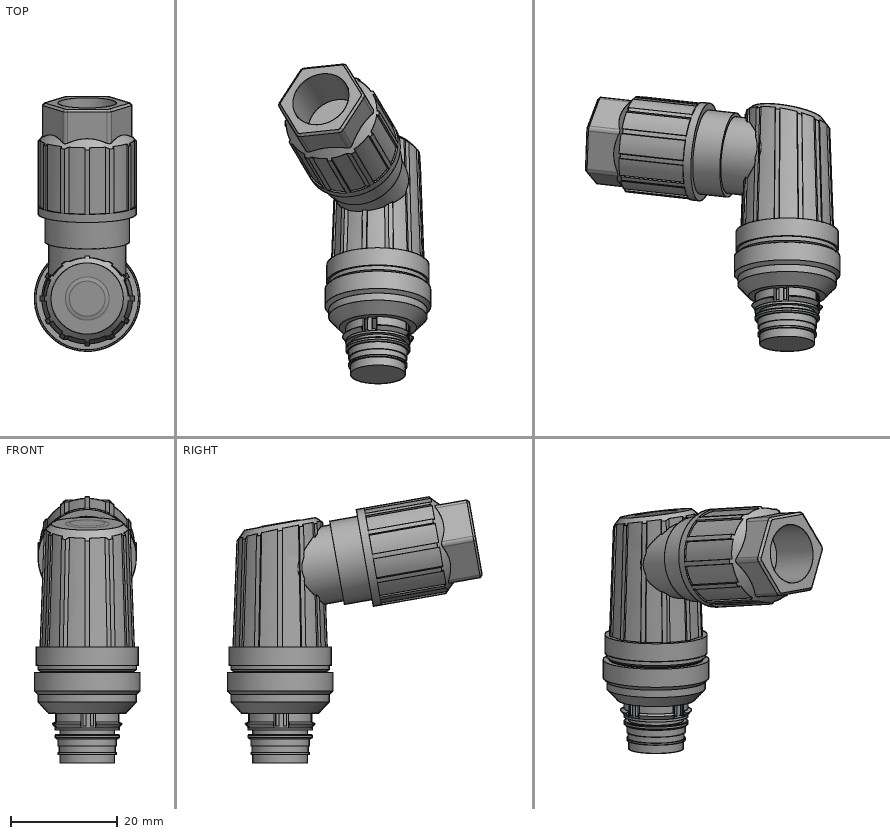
import cadquery as cq
import math


TILT = 10.0

TIP_R = 5.16
LAND_R = 5.3
SLEEVE_R = 5.5
BAND_R = 6.05
LIP_BOTTOM_Z = 1.66
LIP_TOP_Z = 2.03
LAND_TOP_Z = 3.18
SEAL_BOTTOM_Z = 4.55
SEAL_TOP_Z = 5.41
SEAL_LOWER_BEVEL = 0.3
SEAL_UPPER_BEVEL = 0.17
BAND_BOTTOM_Z = 6.2
FLANGE_BOTTOM_Z = 6.65
FLANGE_EDGE_Z = 7.4
FLANGE_TOP_Z = 7.75
FLANGE_R = 6.7

LATCH_COUNT = 4
LATCH_TURN = 2.0
PILLAR_W = 0.85
SLOT_W = 0.58
SLOT_DEPTH = 1.0
SLOT_BOTTOM_Z = 7.0
GAP_HALF = 1.35
GAP_FLOOR_R = 5.95
GAP_FLARE = 0.45

CONE_BOTTOM_Z = 9.37
CONE_BOTTOM_R = 7.26
CONE_TOP_Z = 11.5
SKIRT_R = 9.26
SKIRT_TOP_Z = 12.9
RING_R = 9.945
RING_CHAMFER = RING_R - SKIRT_R
RING_TOP_Z = 17.05
GROOVE_R = 8.8
GROOVE_TOP_Z = 17.25
NECK_R = 9.27
NECK_BOTTOM_Z = 17.6
NECK_TOP_Z = 18.4
COLLAR_R = 9.63
COLLAR_TOP_Z = 21.85

HOUSING_BASE_R = 8.88
HOUSING_DRAFT = 2.1
HOUSING_STOCK_H = 26.0
TOP_CENTRE_Z = 45.0
TOP_FLAT_R = 6.8
TOP_CONE_H = 6.0
BOSS_R = 4.12
BOSS_TOP_R = 3.35
BOSS_H = 0.13

RIB_PITCH = 30.0
HOUSING_DIAGONAL_ANGLE = 33.3
RIB_W = 0.9
RIB_DEPTH = 0.35

BRANCH_Z = 35.77
BRANCH_R = 7.27
MID_START = 10.85
MID_R = 7.97
NUT_START = 16.15
NUT_R = 9.25
NUT_RIB_START = 17.7
NUT_RIB_END = 30.0
NUT_CONE_H = 2.5
HEX_END = 37.35
HEX_SIDES = 6
HEX_FLATS = 14.85
HEX_CORNER_FILLET = 1.0
HEX_END_CHAMFER = 0.45
BORE_R = 5.5
BORE_DEPTH = 10.0


def turned(profile):
    """Revolve a closed (radius, height) outline about Z."""
    return cq.Workplane("XZ").polyline(profile).close().revolve(360, (0, 0), (0, 1))


def cylinder(radius, start, end):
    return cq.Workplane("XY").workplane(offset=start).circle(radius).extrude(end - start)


def wedge_points(radius, diagonal_angle, side_x, side_y):
    """Corner filler beside the rib next to the Y axis; its outer wall is parallel to X."""
    rib_angle = math.radians(diagonal_angle)
    edge_angle = rib_angle - RIB_W / 2 / radius
    wall_y = radius * math.cos(edge_angle)
    outer_x = radius * math.sin(edge_angle)
    inner_x = math.sqrt((radius - RIB_DEPTH) ** 2 - wall_y ** 2)
    root_r = radius - 2 * RIB_DEPTH
    root = (root_r * math.sin(rib_angle), root_r * math.cos(rib_angle))
    corners = [(outer_x, wall_y), (inner_x, wall_y), root]
    return [(side_x * x, side_y * y) for x, y in corners]


def ribbed_grip(base_r, top_r, height, diagonal_angle):
    """Upright round grip with parallel-sided ribs standing out from a thinner core."""
    outer = turned([(0, 0), (base_r, 0), (top_r, height), (0, height)])
    core = turned([(0, 0), (base_r - RIB_DEPTH, 0), (top_r - RIB_DEPTH, height), (0, height)])
    bar = cq.Workplane("XY").rect(RIB_W, 2 * (base_r + RIB_DEPTH)).extrude(height)
    ribs = bar
    for angle in (diagonal_angle, 2 * RIB_PITCH, 3 * RIB_PITCH, -2 * RIB_PITCH, -diagonal_angle):
        ribs = ribs.union(bar.rotate((0, 0, 0), (0, 0, 1), angle))
    for side_x in (-1, 1):
        for side_y in (-1, 1):
            base = wedge_points(base_r, diagonal_angle, side_x, side_y)
            top = wedge_points(top_r, diagonal_angle, side_x, side_y)
            wedge = (
                cq.Workplane("XY").polyline(base).close()
                .workplane(offset=height).polyline(top).close()
                .loft(ruled=True)
            )
            ribs = ribs.union(wedge)
    return core.union(outer.intersect(ribs))


def plug_and_rings():
    """Stepped plug, sealing ring, latch flange and the coupling rings above them."""
    return (
        cq.Workplane("XZ").moveTo(0, 0)
        .lineTo(TIP_R, 0).lineTo(TIP_R, LIP_BOTTOM_Z)
        .lineTo(SLEEVE_R, LIP_BOTTOM_Z).lineTo(SLEEVE_R, LIP_TOP_Z)
        .lineTo(LAND_R, LIP_TOP_Z).lineTo(LAND_R, LAND_TOP_Z)
        .lineTo(SLEEVE_R, LAND_TOP_Z).lineTo(SLEEVE_R, SEAL_BOTTOM_Z)
        .lineTo(BAND_R - SEAL_LOWER_BEVEL, SEAL_BOTTOM_Z)
        .lineTo(BAND_R, SEAL_BOTTOM_Z + SEAL_LOWER_BEVEL)
        .lineTo(BAND_R, SEAL_TOP_Z - SEAL_UPPER_BEVEL)
        .lineTo(BAND_R - SEAL_UPPER_BEVEL, SEAL_TOP_Z)
        .lineTo(TIP_R, SEAL_TOP_Z).lineTo(TIP_R, BAND_BOTTOM_Z)
        .lineTo(BAND_R, BAND_BOTTOM_Z).lineTo(BAND_R, FLANGE_BOTTOM_Z)
        .lineTo(FLANGE_R, FLANGE_EDGE_Z).lineTo(BAND_R, FLANGE_TOP_Z)
        .lineTo(BAND_R, CONE_BOTTOM_Z).lineTo(CONE_BOTTOM_R, CONE_BOTTOM_Z)
        .lineTo(SKIRT_R, CONE_TOP_Z).lineTo(SKIRT_R, SKIRT_TOP_Z)
        .lineTo(RING_R, SKIRT_TOP_Z + RING_CHAMFER).lineTo(RING_R, RING_TOP_Z)
        .lineTo(GROOVE_R, RING_TOP_Z).lineTo(GROOVE_R, GROOVE_TOP_Z)
        .lineTo(NECK_R, NECK_BOTTOM_Z).lineTo(NECK_R, NECK_TOP_Z)
        .lineTo(COLLAR_R, NECK_TOP_Z).lineTo(COLLAR_R, COLLAR_TOP_Z)
        .lineTo(0, COLLAR_TOP_Z).close()
        .revolve(360, (0, 0), (0, 1))
    )


def latch_window():
    """Cutter for one window at -Y: a break in the flange and two slots beside a pillar."""
    rim_reach = FLANGE_R + GAP_FLARE
    gap_rim = GAP_HALF + GAP_FLARE
    gap = (
        cq.Workplane("XY").workplane(offset=FLANGE_BOTTOM_Z)
        .polyline([(-GAP_HALF, 0), (GAP_HALF, 0), (GAP_HALF, -BAND_R),
                   (gap_rim, -rim_reach), (-gap_rim, -rim_reach), (-GAP_HALF, -BAND_R)]).close()
        .extrude(CONE_BOTTOM_Z - FLANGE_BOTTOM_Z)
    )
    cutter = gap.cut(cylinder(GAP_FLOOR_R, 0, COLLAR_TOP_Z))
    slot_offset = (PILLAR_W + SLOT_W) / 2
    slots = (
        cq.Workplane("XY").workplane(offset=SLOT_BOTTOM_Z)
        .pushPoints([(-slot_offset, -BAND_R), (slot_offset, -BAND_R)])
        .rect(SLOT_W, 2 * SLOT_DEPTH).extrude(CONE_BOTTOM_Z - SLOT_BOTTOM_Z)
    )
    return cutter.union(slots)


def cut_latch_windows(body):
    window = latch_window()
    for i in range(LATCH_COUNT):
        body = body.cut(window.rotate((0, 0, 0), (0, 0, 1), LATCH_TURN + i * 360 / LATCH_COUNT))
    return body


def on_sloping_top(shape):
    """Move a shape built about the origin onto the sloping top of the housing."""
    return shape.rotate((0, 0, 0), (1, 0, 0), TILT).translate((0, 0, TOP_CENTRE_Z))


def housing():
    """Drafted ribbed housing with a sloping, chamfered top and a shallow raised disc."""
    top_r = HOUSING_BASE_R - HOUSING_STOCK_H * math.tan(math.radians(HOUSING_DRAFT))
    grip = ribbed_grip(HOUSING_BASE_R, top_r, HOUSING_STOCK_H, HOUSING_DIAGONAL_ANGLE)
    grip = grip.translate((0, 0, COLLAR_TOP_Z))
    wide_r = TOP_FLAT_R + TOP_CONE_H
    envelope = turned([
        (0, 0), (TOP_FLAT_R, 0), (wide_r, -TOP_CONE_H),
        (wide_r, -TOP_CENTRE_Z), (0, -TOP_CENTRE_Z),
    ])
    disc = turned([(0, -BOSS_H), (BOSS_R, -BOSS_H), (BOSS_R, 0), (BOSS_TOP_R, BOSS_H), (0, BOSS_H)])
    return grip.intersect(on_sloping_top(envelope)).union(on_sloping_top(disc))


def hexagon():
    """Hexagonal end of the nut, with two flats facing along local Y."""
    corner_diameter = HEX_FLATS / math.cos(math.pi / HEX_SIDES)
    return (
        cq.Workplane("XY").workplane(offset=NUT_START)
        .polygon(HEX_SIDES, corner_diameter).extrude(HEX_END - NUT_START)
        .edges("|Z").fillet(HEX_CORNER_FILLET)
        .faces(">Z").chamfer(HEX_END_CHAMFER)
    )


def branch():
    """Cable branch built along local Z, then swung into its tilted direction."""
    cone_end = NUT_RIB_END + NUT_CONE_H
    grip = ribbed_grip(NUT_R, NUT_R, cone_end - NUT_RIB_START, RIB_PITCH)
    grip = grip.translate((0, 0, NUT_RIB_START))
    envelope = turned([(0, 0), (NUT_R + NUT_RIB_END, 0), (NUT_R - NUT_CONE_H, cone_end), (0, cone_end)])
    stem = cylinder(BRANCH_R, 0, MID_START)
    middle = cylinder(MID_R, MID_START, NUT_START)
    collar = cylinder(NUT_R, NUT_START, NUT_RIB_START)
    bore = cylinder(BORE_R, HEX_END - BORE_DEPTH, HEX_END)
    body = grip.intersect(envelope).union(hexagon()).union(collar).union(middle).union(stem).cut(bore)
    return body.rotate((0, 0, 0), (1, 0, 0), TILT - 90).translate((0, 0, BRANCH_Z))


result = cut_latch_windows(plug_and_rings()).union(housing()).union(branch())